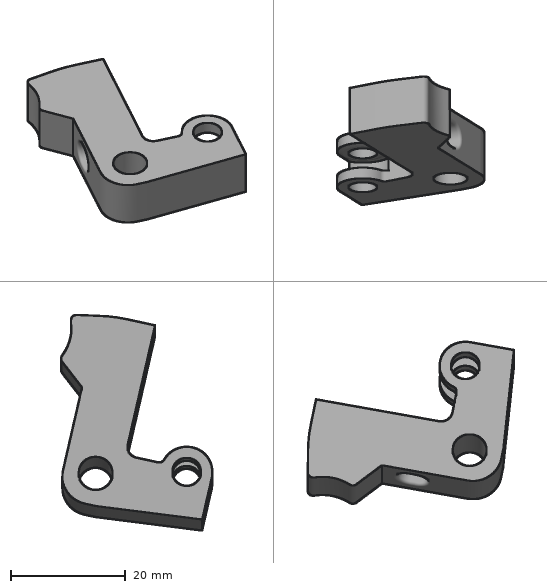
import cadquery as cq
import math


thickness = 8.6
left_x = -28.17
right_x = left_x + 33.9

pivot_diameter = 5.93
heel_radius = 5.02
arm_bottom_y = -5.7
arm_top_y = 4.35
heel_x = right_x - heel_radius
heel_y = arm_bottom_y + heel_radius

lug_x = -3.73
lug_y = 15.45
lug_radius = 4.5
lug_hole_diameter = 5.02
lug_top_y = lug_y + lug_radius
upright_left_x = -4.3
upright_top_right_x = 4.05
upright_taper_end_y = 1.3
inner_corner_radius = 2.0
lug_neck_radius = 1.0

fork_radius = 5.5
fork_gap = 4.6
boss_radius = 3.5
boss_gap = 4.0

toe_back_radius = 26.1
toe_start_x = -14.5
toe_left_tip = (-26.78, -10.68)
toe_right_tip = (-18.7, -10.65)
notch_crest = (-22.78, -9.63)
toe_tip_radius = 1.0

slot_x = -9.1
slot_width = 5.53
slot_height = 4.5
slot_lip_radius = 0.5


def make_plate():
    """Lever outline, including the full lug disc, extruded about mid-thickness."""
    back_angle = math.asin(heel_radius / toe_back_radius)

    def back_point(angle):
        return (
            left_x + toe_back_radius * (1 - math.cos(angle)),
            heel_y - toe_back_radius * math.sin(angle),
        )

    neck_x = upright_left_x - lug_neck_radius
    center_distance = lug_radius + lug_neck_radius
    neck_y = lug_y - math.sqrt(center_distance**2 - (neck_x - lug_x) ** 2)
    lug_share = lug_radius / center_distance
    neck_on_lug = (
        lug_x + lug_share * (neck_x - lug_x),
        lug_y + lug_share * (neck_y - lug_y),
    )
    neck_mid_angle = math.atan2(lug_y - neck_y, lug_x - neck_x) / 2
    neck_middle = (
        neck_x + lug_neck_radius * math.cos(neck_mid_angle),
        neck_y + lug_neck_radius * math.sin(neck_mid_angle),
    )
    heel_middle = (
        heel_x + heel_radius * math.sqrt(0.5),
        heel_y - heel_radius * math.sqrt(0.5),
    )

    plate = (
        cq.Workplane("XY", origin=(0, 0, -thickness / 2))
        .moveTo(left_x, arm_top_y)
        .lineTo(left_x, heel_y)
        .threePointArc(back_point(back_angle / 2), back_point(back_angle))
        .lineTo(*toe_left_tip)
        .threePointArc(notch_crest, toe_right_tip)
        .lineTo(toe_start_x, arm_bottom_y)
        .lineTo(heel_x, arm_bottom_y)
        .threePointArc(heel_middle, (right_x, heel_y))
        .lineTo(right_x, upright_taper_end_y)
        .lineTo(upright_top_right_x, lug_top_y)
        .lineTo(lug_x, lug_top_y)
        .threePointArc((lug_x - lug_radius, lug_y), neck_on_lug)
        .threePointArc(neck_middle, (upright_left_x, neck_y))
        .lineTo(upright_left_x, arm_top_y)
        .close()
        .extrude(thickness)
    )
    rounded_corners = (
        (toe_left_tip, toe_tip_radius),
        (toe_right_tip, toe_tip_radius),
        ((upright_left_x, arm_top_y), inner_corner_radius),
    )
    for corner, radius in rounded_corners:
        edge = cq.selectors.NearestToPointSelector((*corner, 0))
        plate = plate.edges("|Z").edges(edge).fillet(radius)
    return plate


def make_fork_clearance():
    """Round pocket whose faces rise on cones to a flat boss around the lug hole."""
    return (
        cq.Workplane("XZ", origin=(lug_x, lug_y, 0))
        .moveTo(0, -boss_gap / 2)
        .lineTo(boss_radius, -boss_gap / 2)
        .lineTo(lug_radius, -fork_gap / 2)
        .lineTo(fork_radius, -fork_gap / 2)
        .lineTo(fork_radius, fork_gap / 2)
        .lineTo(lug_radius, fork_gap / 2)
        .lineTo(boss_radius, boss_gap / 2)
        .lineTo(0, boss_gap / 2)
        .close()
        .revolve(360, (0, 0, 0), (0, 1, 0))
    )


def make_bore(x, y, diameter):
    """Through-hole cutter parallel to Z."""
    return cq.Workplane("XY").center(x, y).circle(diameter / 2).extrude(thickness, both=True)


def make_cross_slot():
    """Oblong cutter running through the arm from its underside to its top."""
    return (
        cq.Workplane("XZ", origin=(slot_x, arm_bottom_y, 0))
        .slot2D(slot_width, slot_height)
        .extrude(arm_bottom_y - arm_top_y)
    )


result = make_plate().cut(make_cross_slot())

lip_box = cq.selectors.BoxSelector(
    (slot_x - slot_width, arm_bottom_y - 0.35, -thickness / 3),
    (slot_x + slot_width, arm_bottom_y + 0.35, thickness / 3),
    boundingbox=True,
)
result = result.edges(lip_box).fillet(slot_lip_radius)

result = result.cut(make_fork_clearance())
result = result.cut(make_bore(0, 0, pivot_diameter))
result = result.cut(make_bore(lug_x, lug_y, lug_hole_diameter))